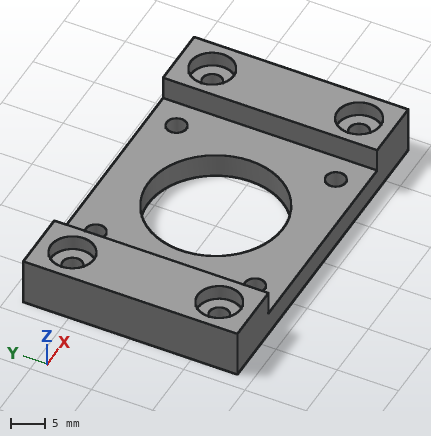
import cadquery as cq

length = 55.0
width = 35.0
height = 8.0

rail_width = 10.0
floor_thickness = 4.0

bore_diameter = 22.0
floor_hole_diameter = 3.2
floor_hole_spacing = 26.0

screw_hole_diameter = 3.2
counterbore_diameter = 7.0
counterbore_depth = 2.5
screw_spacing_x = length - rail_width
screw_spacing_y = 24.0


def make_channel_plate():
    """Block standing on Z = 0 with a channel cut through along Y."""
    block = cq.Workplane("XY").box(length, width, height, centered=(True, True, False))
    channel = (
        cq.Workplane("XY")
        .workplane(offset=floor_thickness)
        .rect(length - 2 * rail_width, width)
        .extrude(height - floor_thickness)
    )
    return block.cut(channel)


def cut_floor_holes(plate):
    """Cut the central bore and its four surrounding holes through the floor."""
    bore = cq.Workplane("XY").circle(bore_diameter / 2).extrude(floor_thickness)
    holes = (
        cq.Workplane("XY")
        .rect(floor_hole_spacing, floor_hole_spacing, forConstruction=True)
        .vertices()
        .circle(floor_hole_diameter / 2)
        .extrude(floor_thickness)
    )
    return plate.cut(bore).cut(holes)


def cut_screw_holes(plate):
    """Cut two counterbored holes down through each rail."""
    return (
        plate.copyWorkplane(cq.Workplane("XY", origin=(0, 0, height)))
        .rect(screw_spacing_x, screw_spacing_y, forConstruction=True)
        .vertices()
        .cboreHole(screw_hole_diameter, counterbore_diameter, counterbore_depth)
    )


result = cut_screw_holes(cut_floor_holes(make_channel_plate()))